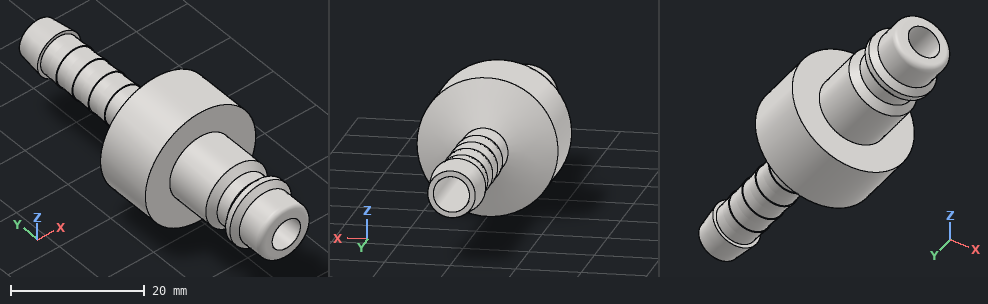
import cadquery as cq

total_length = 58.0
bore_diameter = 5.5

nose_diameter = 10.0
nose_length = 5.0
nose_fillet = 1.0
plug_diameter = 12.0
groove_diameter = 9.6
rib_front = 6.0
rib_back = 7.0
groove_front = 8.05
groove_back = 10.4
plug_front = 11.6
body_front = 20.0

body_diameter = 21.5
body_length = 10.5
taper_length = 2.5

stem_diameter = 7.25
tip_barb_diameter = 8.45
tip_barb_length = 5.0
ring_diameter = 7.6
ring_length = 1.85
ring_pitch = 3.75
ring_count = 4

nose_y = -total_length / 2
tip_y = total_length / 2


def make_plug_and_body():
    """Revolve the plug, the body and the plain hose stem in one profile."""
    body_back = body_front + body_length
    profile = [
        (0, 0),
        (nose_diameter / 2, 0),
        (nose_diameter / 2, nose_length),
        (plug_diameter / 2, rib_front),
        (plug_diameter / 2, rib_back),
        (groove_diameter / 2, groove_front),
        (groove_diameter / 2, groove_back),
        (plug_diameter / 2, plug_front),
        (plug_diameter / 2, body_front),
        (body_diameter / 2, body_front),
        (body_diameter / 2, body_back),
        (stem_diameter / 2, body_back + taper_length),
        (stem_diameter / 2, total_length),
        (0, total_length),
    ]
    solid = (
        cq.Workplane("XY", origin=(0, nose_y, 0))
        .polyline(profile)
        .close()
        .revolve(360, (0, 0), (0, 1))
    )
    return solid.faces("<Y").edges().fillet(nose_fillet)


def make_barb(back_diameter, length, distance_from_tip):
    """Make a cone that widens from the stem toward -Y and ends in a square step."""
    back_y = tip_y - distance_from_tip - length
    profile = [
        (0, 0),
        (back_diameter / 2, 0),
        (stem_diameter / 2, length),
        (0, length),
    ]
    return (
        cq.Workplane("XY", origin=(0, back_y, 0))
        .polyline(profile)
        .close()
        .revolve(360, (0, 0), (0, 1))
    )


def make_bore():
    """Make the cylinder removed along the full length of the axis."""
    return (
        cq.Workplane("XZ", origin=(0, tip_y, 0))
        .circle(bore_diameter / 2)
        .extrude(total_length)
    )


result = make_plug_and_body()
result = result.union(make_barb(tip_barb_diameter, tip_barb_length, 0))
for ring in range(ring_count):
    ring_back = tip_barb_length + (ring + 1) * ring_pitch
    result = result.union(make_barb(ring_diameter, ring_length, ring_back - ring_length))
result = result.cut(make_bore())